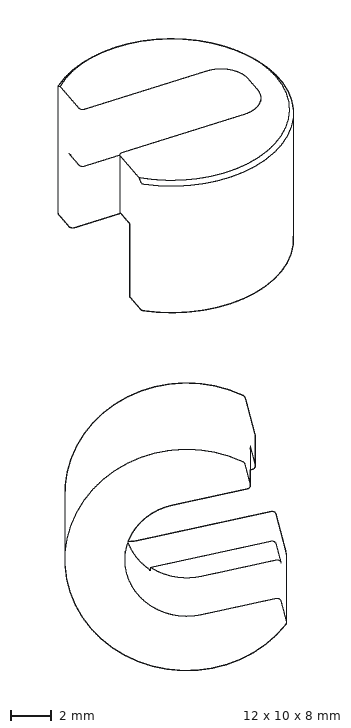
import cadquery as cq

radius = 6.0
height = 8.0
flat_y = -4.0
edge_break = 0.2
corner_radius = 0.2

neck_width = 4.0
neck_end_y = 4.5
neck_corner_radius = 1.5
neck_floor_z = 4.16

head_width = 6.1
head_height = 4.5


def make_body():
    """Cylinder cut by the flat, with its corners rounded and its top rim chamfered."""
    depth = radius - flat_y
    blank = cq.Workplane("XY").circle(radius).extrude(height)
    keep = cq.Workplane("XY").box(2 * radius, depth, height, centered=(True, False, False))
    prism = blank.intersect(keep.translate((0, flat_y, 0)))
    prism = prism.faces("<Y").edges("|Z").fillet(corner_radius)
    return prism.intersect(blank.faces(">Z").edges().chamfer(edge_break))


def mouth_flare(slot_width, bottom_z, top_z):
    """Cutter that rounds both vertical edges where a slot meets the flat."""
    block = cq.Workplane("XY").box(
        slot_width + 2 * edge_break, edge_break, top_z - bottom_z, centered=(True, False, False)
    )
    rounds = (
        cq.Workplane("XY")
        .pushPoints([(side * (slot_width / 2 + edge_break), edge_break) for side in (-1, 1)])
        .circle(edge_break)
        .extrude(top_z - bottom_z)
    )
    return block.cut(rounds).translate((0, flat_y, bottom_z))


def make_neck_slot():
    """Upper slot, open at the flat and at the top."""
    slot = cq.Workplane("XY").box(
        neck_width, neck_end_y - flat_y, height - neck_floor_z, centered=(True, False, False)
    )
    slot = slot.faces(">Y").edges("|Z").fillet(neck_corner_radius)
    slot = slot.translate((0, flat_y, neck_floor_z))
    return slot.union(mouth_flare(neck_width, neck_floor_z, height))


def make_head_slot():
    """Lower slot, open at the flat and at the bottom."""
    slot = cq.Workplane("XY").box(head_width, -flat_y, head_height, centered=(True, False, False))
    slot = slot.translate((0, flat_y, 0))
    slot = slot.union(cq.Workplane("XY").circle(head_width / 2).extrude(head_height))
    return slot.union(mouth_flare(head_width, 0, head_height))


result = make_body().cut(make_neck_slot()).cut(make_head_slot())